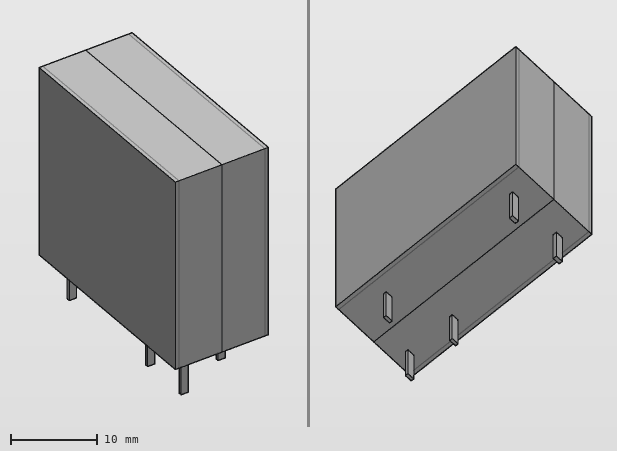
import cadquery as cq

LENGTH = 28.5
WIDTH = 13.0
TOTAL_HEIGHT = 31.6
PIN_LENGTH = 5.3
CASE_HEIGHT = TOTAL_HEIGHT - PIN_LENGTH
HALF_WIDTH = WIDTH / 2
WALL = 0.5

PIN_WIDTH = 1.0
COIL_PIN_THICKNESS = 0.5
CONTACT_PIN_THICKNESS = 0.4
FRONT_ROW_Y = -3.98
ROW_SPACING = 7.5
BACK_ROW_Y = FRONT_ROW_Y + ROW_SPACING
COIL_X = -11.2
MIDDLE_CONTACT_X = 8.75
CONTACT_PITCH = 3.5


def block(x_size, y_size, x_center, y_center, bottom, height):
    """Upright box centred on the given X and Y."""
    return (
        cq.Workplane("XY", origin=(x_center, y_center, bottom))
        .rect(x_size, y_size)
        .extrude(height)
    )


def pin(x_center, y_center, thickness):
    """Flat pin hanging from the underside of the case at Z = 0."""
    return block(thickness, PIN_WIDTH, x_center, y_center, -PIN_LENGTH, PIN_LENGTH)


def case_half(side, row_y, contact_xs):
    """Half of the case with its pins; side is -1 for -Y and +1 for +Y."""
    core_width = HALF_WIDTH - WALL
    half = block(LENGTH, core_width, 0, side * core_width / 2, 0, CASE_HEIGHT)
    wall = block(LENGTH, WALL, 0, side * (HALF_WIDTH - WALL / 2), 0, CASE_HEIGHT)
    half = half.union(wall, clean=False)
    half = half.union(pin(COIL_X, row_y, COIL_PIN_THICKNESS), clean=False)
    for contact_x in contact_xs:
        half = half.union(pin(contact_x, row_y, CONTACT_PIN_THICKNESS), clean=False)
    return half


outer_contact_xs = (MIDDLE_CONTACT_X - CONTACT_PITCH, MIDDLE_CONTACT_X + CONTACT_PITCH)
front_half = case_half(-1, FRONT_ROW_Y, outer_contact_xs)
back_half = case_half(1, BACK_ROW_Y, (MIDDLE_CONTACT_X,))

result = cq.Compound.makeCompound([front_half.val(), back_half.val()])